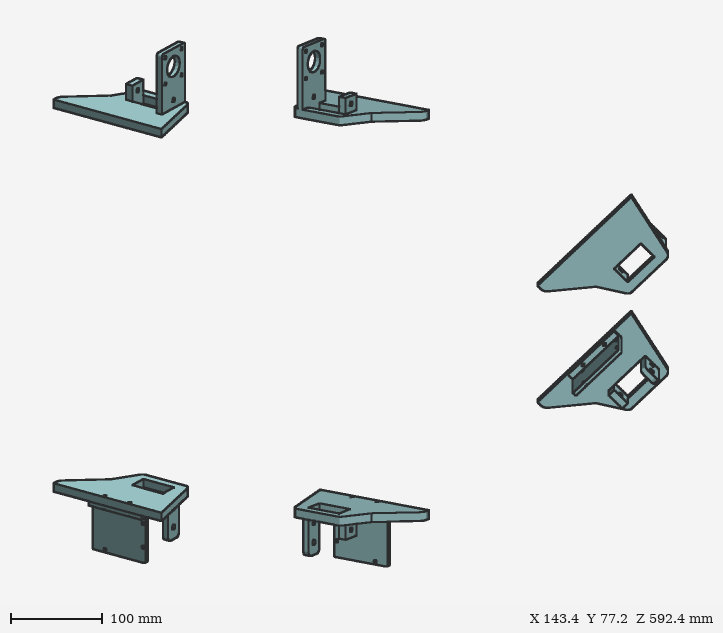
import cadquery as cq

base_length = 143.38
base_depth = 77.2
base_thickness = 10.0
left_edge_depth = 9.7
shoulder_x = 44.5
shoulder_y = 45.5
back_left_x = 64.7
back_right_x = 126.0
back_corner_radius = 6.5
left_corner_radius = 10.0

overall_height = 592.43
motor_plate_height = 70.5
board_holder_height = 59.0
lower_base_bottom = board_holder_height
upper_base_bottom = overall_height - motor_plate_height - base_thickness

window_left = 73.0
window_length = 40.5
window_width = 21.0
window_center_y = 55.5
window_right = window_left + window_length

short_tab_thickness = 8.5
short_tab_height = 18.5
short_tab_hole_height = 9.5
tab_hole_diameter = 4.8

long_plate_thickness = 7.0

motor_plate_width = 43.7
motor_plate_radius = 3.0
motor_bore_diameter = 23.6
motor_bore_height = 49.25
motor_hole_spacing = 31.0
motor_hole_diameter = 3.6

long_tab_height = 46.0
long_tab_radius = 5.5
long_tab_hole_height = 31.75
long_tab_hole_diameter = 5.5

holder_left = 46.5
holder_length = 70.25
holder_thickness = 4.5
holder_front_y = 7.5
holder_back_y = holder_front_y + holder_thickness
lip_thickness = 5.0
holder_radius = 2.0
board_hole_diameter = 3.6
board_holes = [(13.97, 2.54), (15.24, 50.8), (66.04, 7.62), (66.04, 35.56)]
board_margin = 1.0
board_drop = 5.0
board_left = holder_left + board_margin
board_top = lower_base_bottom - board_drop

screw_hole_diameter = 3.5
screw_hole_left_x = 66.0
screw_hole_spacing = 32.8
screw_hole_xs = [screw_hole_left_x, screw_hole_left_x + screw_hole_spacing]
screw_hole_y = 3.5


def block(x, y, z, length, width, height):
    """A box with its lowest corner at (x, y, z)."""
    return cq.Workplane("XY").box(length, width, height, centered=False).translate((x, y, z))


def cross_hole(diameter, y, z):
    """A cutter along X through the whole part."""
    return cq.Workplane("YZ").center(y, z).circle(diameter / 2).extrude(base_length)


def screw_holes():
    """Cutters along Z through the lower base and the lip of the board holder."""
    bottom = lower_base_bottom - lip_thickness
    places = [(x, screw_hole_y) for x in screw_hole_xs]
    cutters = cq.Workplane("XY", origin=(0, 0, bottom)).pushPoints(places)
    return cutters.circle(screw_hole_diameter / 2).extrude(lip_thickness + base_thickness)


def base_plate(bottom):
    """The base outline with its window, its underside at the given height."""
    plate = (
        cq.Workplane("XY", origin=(0, 0, bottom))
        .lineTo(base_length, 0)
        .lineTo(back_right_x, base_depth)
        .lineTo(back_left_x, base_depth)
        .lineTo(shoulder_x, shoulder_y)
        .lineTo(0, left_edge_depth)
        .close()
        .extrude(base_thickness)
    )
    back_corners = plate.edges("|Z").edges(">Y")
    plate = back_corners.fillet(back_corner_radius)
    left_corner = cq.selectors.NearestToPointSelector((0, left_edge_depth, bottom + base_thickness / 2))
    plate = plate.edges(left_corner).fillet(left_corner_radius)
    window_front = window_center_y - window_width / 2
    window = block(window_left, window_front, bottom, window_length, window_width, base_thickness)
    return plate.cut(window)


def tab(x, thickness, bottom, height):
    """A plain tab as wide as the window."""
    return block(x, window_center_y - window_width / 2, bottom, thickness, window_width, height)


def make_upper_bracket():
    base_top = upper_base_bottom + base_thickness
    short_tab = tab(window_left - short_tab_thickness, short_tab_thickness, base_top, short_tab_height)
    motor_plate = block(
        window_right, base_depth - motor_plate_width, base_top,
        long_plate_thickness, motor_plate_width, motor_plate_height,
    )
    motor_plate = motor_plate.edges("|X and >Z").fillet(motor_plate_radius)
    bracket = base_plate(upper_base_bottom).union(short_tab).union(motor_plate)

    bracket = bracket.cut(cross_hole(tab_hole_diameter, window_center_y, base_top + short_tab_hole_height))
    bore_y = base_depth - motor_plate_width / 2
    bore_z = base_top + motor_bore_height
    bracket = bracket.cut(cross_hole(motor_bore_diameter, bore_y, bore_z))
    for side_y in (-1, 1):
        for side_z in (-1, 1):
            hole_y = bore_y + side_y * motor_hole_spacing / 2
            hole_z = bore_z + side_z * motor_hole_spacing / 2
            bracket = bracket.cut(cross_hole(motor_hole_diameter, hole_y, hole_z))
    return bracket


def make_lower_bracket():
    short_tab = tab(
        window_left - short_tab_thickness, short_tab_thickness,
        lower_base_bottom - short_tab_height, short_tab_height,
    )
    long_tab = tab(window_right, long_plate_thickness, lower_base_bottom - long_tab_height, long_tab_height)
    long_tab = long_tab.edges("|X and <Z").fillet(long_tab_radius)
    bracket = base_plate(lower_base_bottom).union(short_tab).union(long_tab)
    tab_holes = [(tab_hole_diameter, short_tab_hole_height), (long_tab_hole_diameter, long_tab_hole_height)]
    for diameter, drop in tab_holes:
        bracket = bracket.cut(cross_hole(diameter, window_center_y, lower_base_bottom - drop))
    return bracket.cut(screw_holes())


def make_board_holder():
    plate = block(holder_left, holder_front_y, 0, holder_length, holder_thickness, board_holder_height)
    plate = plate.edges("|Y and <Z").fillet(holder_radius)
    lip = block(
        holder_left, 0, lower_base_bottom - lip_thickness,
        holder_length, holder_back_y, lip_thickness,
    )
    holder = plate.union(lip)
    places = [(board_left + across, board_top - down) for across, down in board_holes]
    board_cutters = (
        cq.Workplane("XZ", origin=(0, holder_back_y, 0))
        .pushPoints(places)
        .circle(board_hole_diameter / 2)
        .extrude(holder_thickness)
    )
    return holder.cut(board_cutters).cut(screw_holes())


upper_bracket = make_upper_bracket()
lower_bracket = make_lower_bracket()
board_holder = make_board_holder()

result = cq.Compound.makeCompound([upper_bracket.val(), lower_bracket.val(), board_holder.val()])